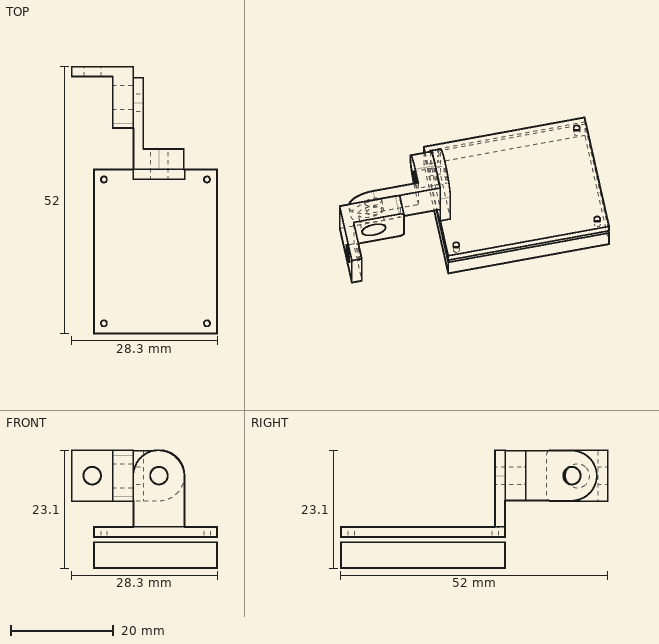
import cadquery as cq


plate_width = 24.0
plate_length = 32.0
sheet = 2.0
tab_width = 10.0
tab_radius = tab_width / 2
axis_height = 10.0
plate_center_x = -0.7
corner_hole_diameter = 1.2
corner_hole_inset = 2.0

block_height = 5.05
block_gap = 1.0

pivot_hole_diameter = 3.4
bracket_hole_diameter = 4.7

knuckle_height = 9.7
knuckle_front_thickness = 4.0
pan_axis_y = 13.0
joint_x = -tab_radius

bracket_back_y = 20.0
bracket_length = 12.0
bracket_width = 12.0
bracket_height = 10.0
bracket_thickness = 4.0
bracket_fillet = 1.0
bracket_hole_inset = 6.0

plate_top = -axis_height
plate_bottom = plate_top - sheet
plate_center_y = -plate_length / 2
block_top = plate_bottom - block_gap


def box(x_min, x_max, y_min, y_max, z_min, z_max):
    """Box between the given limits."""
    size = (x_max - x_min, y_max - y_min, z_max - z_min)
    return cq.Workplane("XY").box(*size, centered=False).translate((x_min, y_min, z_min))


def cylinder_y(x, diameter, y_min, y_max):
    """Cylinder along Y, at the height of the pivot axes."""
    profile = cq.Workplane("XZ", origin=(x, y_max, 0)).circle(diameter / 2)
    return profile.extrude(y_max - y_min)


def cylinder_x(y, diameter, x_min, x_max):
    """Cylinder along X, at the height of the pivot axes."""
    profile = cq.Workplane("YZ", origin=(x_min, y, 0)).circle(diameter / 2)
    return profile.extrude(x_max - x_min)


def make_base_plate():
    hole_spacing_x = plate_width - 2 * corner_hole_inset
    hole_spacing_y = plate_length - 2 * corner_hole_inset
    plate = (
        cq.Workplane("XY", origin=(plate_center_x, plate_center_y, plate_bottom))
        .rect(plate_width, plate_length)
        .extrude(sheet)
    )
    corner_holes = (
        cq.Workplane("XY", origin=(plate_center_x, plate_center_y, plate_bottom))
        .rect(hole_spacing_x, hole_spacing_y, forConstruction=True)
        .vertices()
        .circle(corner_hole_diameter / 2)
        .extrude(sheet)
    )
    tab = (
        cq.Workplane("XZ")
        .moveTo(-tab_radius, plate_top)
        .lineTo(-tab_radius, 0)
        .threePointArc((0, tab_radius), (tab_radius, 0))
        .lineTo(tab_radius, plate_top)
        .close()
        .extrude(sheet)
    )
    tab = tab.cut(cylinder_y(0, pivot_hole_diameter, -sheet, 0))
    return plate.cut(corner_holes).union(tab)


def make_block():
    return (
        cq.Workplane("XY", origin=(plate_center_x, plate_center_y, block_top))
        .rect(plate_width, plate_length)
        .extrude(-block_height)
    )


def make_knuckle():
    half_height = knuckle_height / 2
    side_x = joint_x + sheet
    front_y = knuckle_front_thickness
    front_arm = (
        cq.Workplane("XZ", origin=(0, front_y, 0))
        .moveTo(joint_x, -half_height)
        .lineTo(0, -half_height)
        .threePointArc((half_height, 0), (0, half_height))
        .lineTo(joint_x, half_height)
        .close()
        .extrude(front_y)
    )
    side_arm = (
        cq.Workplane("YZ", origin=(joint_x, 0, 0))
        .moveTo(0, -half_height)
        .lineTo(pan_axis_y, -half_height)
        .threePointArc((pan_axis_y + half_height, 0), (pan_axis_y, half_height))
        .lineTo(0, half_height)
        .close()
        .extrude(sheet)
    )
    tilt_hole = cylinder_y(0, pivot_hole_diameter, 0, front_y)
    pan_hole = cylinder_x(pan_axis_y, pivot_hole_diameter, joint_x, side_x)
    return front_arm.union(side_arm).cut(tilt_hole).cut(pan_hole)


def make_end_bracket():
    half_height = bracket_height / 2
    left_x = joint_x - bracket_width
    side_x = joint_x - bracket_thickness
    front_y = bracket_back_y - bracket_length
    arm_front_y = bracket_back_y - sheet
    side_arm = box(side_x, joint_x, front_y, bracket_back_y, -half_height, half_height)
    side_arm = side_arm.faces("<Y").edges("|X").fillet(bracket_fillet)
    rear_arm = box(left_x, side_x, arm_front_y, bracket_back_y, -half_height, half_height)
    side_hole_y = bracket_back_y - bracket_hole_inset
    side_hole = cylinder_x(side_hole_y, bracket_hole_diameter, side_x, joint_x)
    rear_hole_x = (left_x + side_x) / 2
    rear_hole = cylinder_y(rear_hole_x, pivot_hole_diameter, arm_front_y, bracket_back_y)
    return side_arm.union(rear_arm).cut(side_hole).cut(rear_hole)


base_plate = make_base_plate()
block = make_block()
knuckle = make_knuckle()
end_bracket = make_end_bracket()

bodies = [base_plate, block, knuckle, end_bracket]
result = cq.Compound.makeCompound([body.solids().val() for body in bodies])